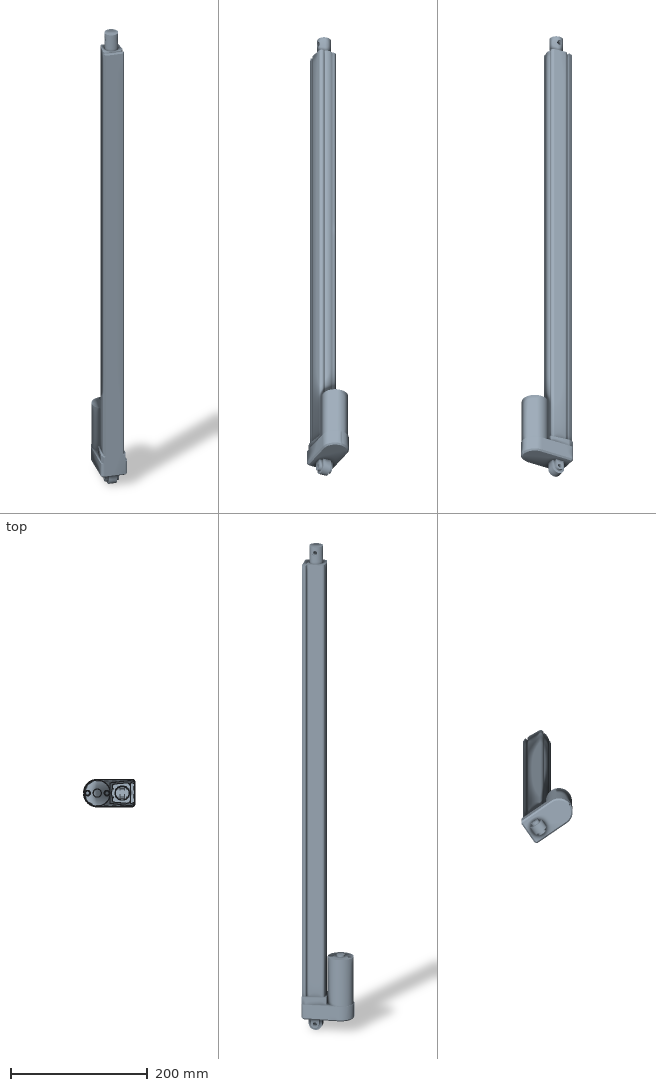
import cadquery as cq
import math

total_height = 744.0
housing_bottom = 19.0
housing_top = 42.5
collar_top = 53.5
motor_top = 114.0
rail_top = 716.5
tube_top = 718.0

housing_width = 40.0
housing_end_x = 18.5
axis_spacing = 36.5
housing_edge_chamfer = 2.0
housing_corner_radius = 4.5
seam_width = 2.0
seam_depth = 1.5

motor_diameter = 38.0
motor_boss_diameter = 12.0
motor_boss_height = 3.0
screw_offset = 14.0
screw_head_diameter = 8.0
screw_head_depth = 2.0
screw_bore_diameter = 6.0
screw_bore_depth = 4.5

collar_start_x = -18.0
collar_shoulder_x = 12.0
collar_start_half_width = 15.0
collar_shoulder_half_width = 18.5
collar_end_half_width = 16.0

rear_arc_radius = 15.5
rear_arc_half_width = 6.0
lobe_start_x = -13.0
lobe_crest = (-14.0, 11.0)
flat_start = (-10.5, 13.5)
flat_end = (7.0, 15.0)
front_corner_x = 12.0
front_corner_half_width = 10.0
rod_bore_diameter = 21.0
rod_bore_depth = 4.0

rail_start_x = 11.0
rail_shoulder_x = 13.0
rail_shoulder_half_width = 15.5
rail_end_half_width = 13.5

rod_diameter = 20.0
pin_hole_diameter = 6.0
spot_face_diameter = 8.0
spot_face_depth = 2.0
rod_hole_drop = 10.0
rod_hole_z = total_height - rod_hole_drop

tongue_diameter = 20.0
tongue_thickness = 12.0
lug_boss_diameter = 12.0
lug_boss_thickness = 21.0
lug_hole_z = tongue_diameter / 2


def upright_cylinder(x, diameter, bottom, top):
    return cq.Workplane("XY", origin=(x, 0, bottom)).circle(diameter / 2).extrude(top - bottom)


def cross_cylinder(z, diameter, start_y, end_y):
    """Cylinder along Y between two Y positions."""
    return cq.Workplane("XZ", origin=(0, end_y, z)).circle(diameter / 2).extrude(end_y - start_y)


def symmetric_prism(half_outline, bottom, top):
    """Prism whose outline is the given (x, half width) points mirrored about the XZ plane."""
    mirrored = [(x, -y) for x, y in reversed(half_outline)]
    outline = cq.Workplane("XY", origin=(0, 0, bottom)).polyline(half_outline + mirrored).close()
    return outline.extrude(top - bottom)


def make_housing():
    half = housing_width / 2
    height = housing_top - housing_bottom
    housing = (
        cq.Workplane("XY", origin=(0, 0, housing_bottom))
        .moveTo(-axis_spacing, -half)
        .lineTo(housing_end_x, -half)
        .lineTo(housing_end_x, half)
        .lineTo(-axis_spacing, half)
        .threePointArc((-axis_spacing - half, 0), (-axis_spacing, -half))
        .close()
        .extrude(height)
    )
    housing = housing.edges("|Z and >X").fillet(housing_corner_radius)
    housing = housing.faces("<Z").chamfer(housing_edge_chamfer)
    seam = cq.Workplane("XY", origin=(-axis_spacing - half, 0, housing_bottom))
    return housing.cut(seam.rect(2 * seam_depth, seam_width).extrude(height))


def make_motor():
    motor = upright_cylinder(-axis_spacing, motor_diameter, housing_top, motor_top)
    boss_top = motor_top + motor_boss_height
    motor = motor.union(upright_cylinder(-axis_spacing, motor_boss_diameter, motor_top, boss_top))
    screw_steps = (
        (screw_head_diameter, screw_head_depth),
        (screw_bore_diameter, screw_bore_depth),
    )
    for side in (-1, 1):
        screw_x = -axis_spacing + side * screw_offset
        for diameter, depth in screw_steps:
            motor = motor.cut(upright_cylinder(screw_x, diameter, motor_top - depth, motor_top))
    return motor


def make_collar():
    half_outline = [
        (collar_start_x, collar_start_half_width),
        (collar_shoulder_x, collar_shoulder_half_width),
        (housing_end_x, collar_end_half_width),
    ]
    return symmetric_prism(half_outline, housing_top, collar_top)


def make_tube():
    rear_arc_x = -math.sqrt(rear_arc_radius**2 - rear_arc_half_width**2)
    half_tubes = []
    for side in (-1, 1):
        outline = (
            cq.Workplane("XY", origin=(0, 0, collar_top))
            .moveTo(front_corner_x, 0)
            .lineTo(-rear_arc_radius, 0)
            .radiusArc((rear_arc_x, side * rear_arc_half_width), side * rear_arc_radius)
            .lineTo(lobe_start_x, side * rear_arc_half_width)
            .threePointArc((lobe_crest[0], side * lobe_crest[1]), (flat_start[0], side * flat_start[1]))
            .lineTo(flat_end[0], side * flat_end[1])
            .radiusArc(
                (front_corner_x, side * front_corner_half_width),
                side * (front_corner_x - flat_end[0]),
            )
            .close()
        )
        half_tubes.append(outline.extrude(tube_top - collar_top))
    tube = half_tubes[0].union(half_tubes[1])
    return tube.cut(upright_cylinder(0, rod_bore_diameter, tube_top - rod_bore_depth, tube_top))


def make_rail():
    half_outline = [
        (rail_start_x, front_corner_half_width),
        (rail_shoulder_x, rail_shoulder_half_width),
        (housing_end_x, rail_end_half_width),
    ]
    return symmetric_prism(half_outline, collar_top, rail_top)


def make_rod():
    rod = upright_cylinder(0, rod_diameter, tube_top - rod_bore_depth, total_height)
    radius = rod_diameter / 2
    floor_y = radius - spot_face_depth
    rod = rod.cut(cross_cylinder(rod_hole_z, pin_hole_diameter, -radius, radius))
    for start_y, end_y in ((-radius, -floor_y), (floor_y, radius)):
        rod = rod.cut(cross_cylinder(rod_hole_z, spot_face_diameter, start_y, end_y))
    return rod


def rounded_plate(diameter, thickness):
    """Upright plate with a half-round lower end centred on the pin hole."""
    radius = diameter / 2
    height = housing_bottom - lug_hole_z
    return (
        cq.Workplane("XZ", origin=(0, thickness / 2, lug_hole_z))
        .moveTo(-radius, height)
        .lineTo(-radius, 0)
        .threePointArc((0, -radius), (radius, 0))
        .lineTo(radius, height)
        .close()
        .extrude(thickness)
    )


def make_lug():
    tongue = rounded_plate(tongue_diameter, tongue_thickness)
    lug = tongue.union(rounded_plate(lug_boss_diameter, lug_boss_thickness))
    half = lug_boss_thickness / 2
    return lug.cut(cross_cylinder(lug_hole_z, pin_hole_diameter, -half, half))


result = make_housing()
for section in (make_motor(), make_collar(), make_tube(), make_rail(), make_rod(), make_lug()):
    result = result.union(section)